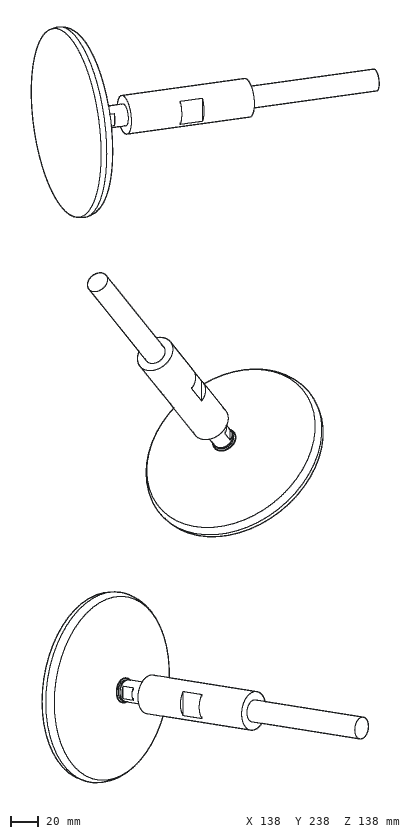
import cadquery as cq

total_length = 238.0

rim_radius = 138.0 / 2
sole_radius = 68.3
rim_height = 4.0
shoulder_radius = 68.3
shoulder_height = 7.0
cone_outer_radius = 66.5
cone_outer_height = 9.8
cone_inner_radius = 10.5
cone_inner_height = 19.3
flare_radius = 8.5
flare_height = 21.0
flare_sag = 0.2
collar_radius = 9.0
collar_height = 21.7
neck_radius = 7.5

spindle_diameter = 16.0
spindle_start = 23.3
spindle_flat_start = 25.2
spindle_flat_length = 9.3
spindle_across_flats = 13.0

sleeve_diameter = 28.0
sleeve_start = 44.7
sleeve_length = 94.7
sleeve_flat_length = 17.1
sleeve_across_flats = 22.0
sleeve_flat_start = sleeve_start + (sleeve_length - sleeve_flat_length) / 2


def rod(diameter, start, length):
    """Cylinder along +Y from the given start."""
    return cq.Workplane("XZ", origin=(0, start, 0)).circle(diameter / 2).extrude(-length)


def cut_flats(body, diameter, across_flats, start, length):
    """Cut a pair of wrench flats facing +X and -X."""
    depth = (diameter - across_flats) / 2
    for side in (-1, 1):
        center_x = side * (across_flats + depth) / 2
        cutter = cq.Workplane("XY").box(depth, length, diameter)
        body = body.cut(cutter.translate((center_x, start + length / 2, 0)))
    return body


def make_foot():
    """Conical plate with a bulged rim, a rounded edge and a flared, collared central neck."""
    return (
        cq.Workplane("XY")
        .lineTo(sole_radius, 0)
        .lineTo(rim_radius, rim_height)
        .lineTo(shoulder_radius, shoulder_height)
        .tangentArcPoint((cone_outer_radius, cone_outer_height), relative=False)
        .lineTo(cone_inner_radius, cone_inner_height)
        .sagittaArc((flare_radius, flare_height), flare_sag)
        .lineTo(collar_radius, flare_height)
        .lineTo(collar_radius, collar_height)
        .lineTo(neck_radius, collar_height)
        .lineTo(neck_radius, spindle_start)
        .lineTo(0, spindle_start)
        .close()
        .revolve(360, (0, 0, 0), (0, 1, 0))
    )


def make_spindle():
    """Long round rod with wrench flats near its lower end."""
    spindle = rod(spindle_diameter, spindle_start, total_length - spindle_start)
    return cut_flats(
        spindle, spindle_diameter, spindle_across_flats, spindle_flat_start, spindle_flat_length
    )


def make_sleeve():
    """Tube around the spindle with wrench flats at mid-length."""
    sleeve = rod(sleeve_diameter, sleeve_start, sleeve_length)
    sleeve = sleeve.cut(rod(spindle_diameter, sleeve_start, sleeve_length))
    return cut_flats(
        sleeve, sleeve_diameter, sleeve_across_flats, sleeve_flat_start, sleeve_flat_length
    )


foot = make_foot()
spindle = make_spindle()
sleeve = make_sleeve()

result = cq.Compound.makeCompound([foot.val(), spindle.val(), sleeve.val()])